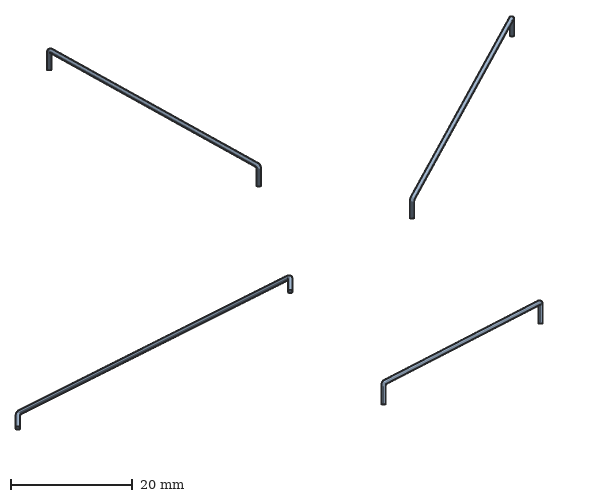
import cadquery as cq

overall_length = 54.75
overall_height = 4.0
wire_diameter = 0.75
bend_radius = 0.5

wire_radius = wire_diameter / 2
leg_x = overall_length / 2 - wire_radius
bridge_z = overall_height - wire_radius
bend_start_z = bridge_z - bend_radius
bridge_end_x = leg_x - bend_radius
centreline = (
    cq.Workplane("XZ")
    .moveTo(-leg_x, 0)
    .lineTo(-leg_x, bend_start_z)
    .radiusArc((-bridge_end_x, bridge_z), bend_radius)
    .lineTo(bridge_end_x, bridge_z)
    .radiusArc((leg_x, bend_start_z), bend_radius)
    .lineTo(leg_x, 0)
)

result = cq.Workplane("XY").center(-leg_x, 0).circle(wire_radius).sweep(centreline)